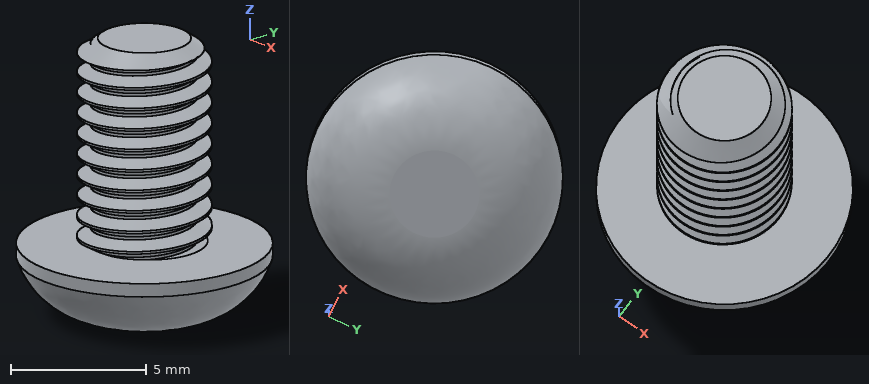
import cadquery as cq
import math

total_height = 10.74

head_diameter = 9.5
head_height = 2.75
rim_height = 0.52
crown_diameter = 3.33

thread_diameter = 5.0
root_diameter = 4.0
pitch = 0.8
crest_width = 0.1
flank_angle = 30.0
tip_diameter = 3.46
tip_chamfer_height = 0.54
last_groove_height = 10.1
turns_below_last = 10
turns_above_last = 1.3
groove_overshoot = 0.03

head_radius = head_diameter / 2
thread_radius = thread_diameter / 2
root_radius = root_diameter / 2


def make_head():
    """Revolve a flat crown, a dome arc tangent to it and a straight rim."""
    crown_radius = crown_diameter / 2
    dome_top = head_height - rim_height
    return (
        cq.Workplane("XZ")
        .lineTo(crown_radius, 0)
        .tangentArcPoint((head_radius, dome_top), relative=False)
        .lineTo(head_radius, head_height)
        .lineTo(0, head_height)
        .close()
        .revolve(360, (0, 0, 0), (0, 1, 0))
    )


def make_shank():
    """Revolve the plain shank with its conical tip."""
    return (
        cq.Workplane("XZ")
        .moveTo(0, head_height)
        .lineTo(thread_radius, head_height)
        .lineTo(thread_radius, total_height - tip_chamfer_height)
        .lineTo(tip_diameter / 2, total_height)
        .lineTo(0, total_height)
        .close()
        .revolve(360, (0, 0, 0), (0, 1, 0))
    )


def make_thread_groove():
    """Sweep the trapezoidal groove section along a right-handed helix."""
    flank_slope = math.tan(math.radians(flank_angle))
    start_height = last_groove_height - turns_below_last * pitch
    helix_height = (turns_below_last + turns_above_last) * pitch
    outer_radius = thread_radius + groove_overshoot
    outer_half = (pitch - crest_width) / 2 + groove_overshoot * flank_slope
    root_half = outer_half - (outer_radius - root_radius) * flank_slope
    helix = cq.Wire.makeHelix(pitch, helix_height, root_radius, center=cq.Vector(0, 0, start_height))
    return (
        cq.Workplane("XZ")
        .moveTo(root_radius, start_height - root_half)
        .lineTo(outer_radius, start_height - outer_half)
        .lineTo(outer_radius, start_height + outer_half)
        .lineTo(root_radius, start_height + root_half)
        .close()
        .sweep(cq.Workplane(obj=helix), isFrenet=True)
    )


threaded_shank = make_shank().cut(make_thread_groove())
result = make_head().union(threaded_shank)